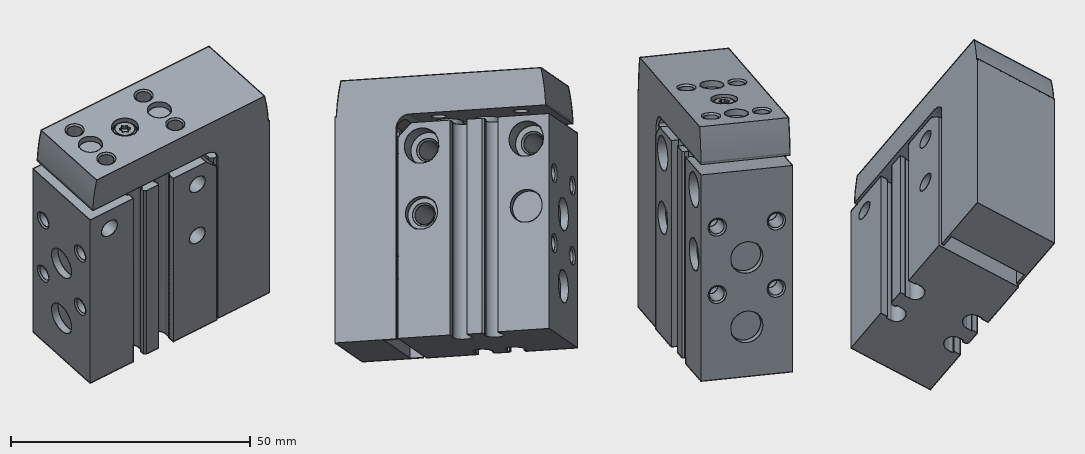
import cadquery as cq
import math


total_height = 56.0
total_depth = 47.0
housing_width = 20.0
half_width = housing_width / 2

housing_depth = 33.05
housing_height = 46.0
rear_chamfer = 2.8

slot_bore = 4.0
slot_lip = 1.6
slot_wall = 1.25
slot_1_edges = (18.1, 21.7)
slot_2_edges = (11.25, 14.4)
rib_chamfer = 0.45
rib_recess = 0.3

mount_bore = 4.15
mount_chamfer_diameter = 5.0
mount_y = 27.95
mount_front_y = 5.05
mount_upper_z = 40.95
mount_lower_z = 26.55
screw_recess_diameter = 7.5
screw_recess_depth = 4.6
sleeve_diameter = 7.0
sleeve_depth = 1.7

thread_bore = 3.25
thread_chamfer_diameter = 4.0
cone_angle = 118.0

front_thread_spacing = 12.9
front_thread_heights = (19.0, 34.0)
front_thread_depth = 5.05
front_sleeve_heights = (11.1, 26.55)

guide_front_y = 32.55
guide_cap_width = 17.25
guide_bottom = 13.05
guide_height = 31.4
guide_cap_height = 4.75
guide_chamfer = 0.7

slide_width = 19.45
slide_front_y = 0.9
column_front_y = 33.6
beam_bottom = 47.95
crown_base = 48.4
crown_inset = 1.0
crown_mid_inset = 0.35
rear_step = 0.3
inner_radius = 3.0

channel_width = 18.3
channel_depth = 2.8
channel_top = 47.45
channel_corner = 2.35

axis_y = 16.5
rod_diameter = 5.6
stop_y = 25.05
stop_diameter = 6.0
stop_neck_diameter = 5.0
stop_neck_height = 0.5

top_row_spacing = 18.0
top_thread_spacing = 11.1
dowel_diameter = 5.0
dowel_depth = 1.4

screw_pocket_diameter = 5.6
screw_pocket_depth = 1.25
screw_head_diameter = 4.8
screw_face_diameter = 4.15
screw_head_height = 0.8
star_lobes = 6
star_diameter = 1.8
star_lobe_circle = 1.9
star_lobe_diameter = 0.4
star_depth = 0.85


def cylinder(start, direction, diameter, length):
    return cq.Workplane(obj=cq.Solid.makeCylinder(diameter / 2, length, cq.Vector(*start), cq.Vector(*direction)))


def cone(start, direction, start_diameter, end_diameter, length):
    return cq.Workplane(obj=cq.Solid.makeCone(start_diameter / 2, end_diameter / 2, length,
                                              cq.Vector(*start), cq.Vector(*direction)))


def chamfered_bore(start, direction, bore, mouth, length):
    """Cylinder with a 45 degree widening at its start."""
    lead_in = cone(start, direction, mouth, bore, (mouth - bore) / 2)
    return cylinder(start, direction, bore, length).union(lead_in)


def block(width, y_start, y_end, z_start, z_end):
    return cq.Workplane().box(width, y_end - y_start, z_end - z_start, centered=(True, False, False)).translate(
        (0, y_start, z_start))


def housing_block():
    body = block(housing_width, 0, housing_depth, 0, housing_height)
    return body.edges("|X and >Y and >Z").chamfer(rear_chamfer)


def sensor_slot(edges):
    """Slot on the -X side, full height."""
    low, high = edges
    middle = (low + high) / 2
    floor_centre_depth = slot_lip + slot_wall
    channel_low = middle - slot_bore / 2
    mouth = cq.Workplane().box(slot_lip, high - low, housing_height, centered=False)
    channel = cq.Workplane().box(slot_wall, slot_bore, housing_height, centered=False)
    floor = cylinder((floor_centre_depth - half_width, middle, 0), (0, 0, 1), slot_bore, housing_height)
    return (
        floor
        .union(mouth.translate((-half_width, low, 0)))
        .union(channel.translate((slot_lip - half_width, channel_low, 0)))
    )


def rib_relief():
    """Sets the rib between the slots back and bevels its front edge."""
    rib_front = slot_2_edges[1]
    rib_back = slot_1_edges[0]
    face_x = rib_recess - half_width
    return (
        cq.Workplane()
        .polyline([
            (-half_width, rib_front),
            (face_x + rib_chamfer, rib_front),
            (face_x, rib_front + rib_chamfer),
            (face_x, rib_back),
            (-half_width, rib_back),
        ])
        .close()
        .extrude(housing_height)
    )


def sensor_slots():
    one_side = sensor_slot(slot_1_edges).union(sensor_slot(slot_2_edges)).union(rib_relief())
    return one_side.union(one_side.mirror("YZ"))


def mounting_hole(y, z, recess_diameter, recess_depth):
    """Through hole along X with a flat recess on the -X side."""
    recess = cylinder((-half_width, y, z), (1, 0, 0), recess_diameter, recess_depth)
    floor = (recess_depth - half_width, y, z)
    bore = chamfered_bore(floor, (1, 0, 0), mount_bore, mount_chamfer_diameter, housing_width - recess_depth)
    return recess.union(bore)


def front_thread(x, z):
    tip_length = thread_bore / 2 / math.tan(math.radians(cone_angle / 2))
    bore = chamfered_bore((x, 0, z), (0, 1, 0), thread_bore, thread_chamfer_diameter, front_thread_depth)
    return bore.union(cone((x, front_thread_depth, z), (0, 1, 0), thread_bore, 0, tip_length))


def guide_rail():
    """Rail that fills the column channel; its narrower end caps have bevelled front edges."""
    top = guide_bottom + guide_height
    rear_y = column_front_y + channel_depth
    rail = block(channel_width, guide_front_y, rear_y, guide_bottom + guide_cap_height, top - guide_cap_height)
    for cap_bottom in (guide_bottom, top - guide_cap_height):
        cap = block(guide_cap_width, guide_front_y, rear_y, cap_bottom, cap_bottom + guide_cap_height)
        rail = rail.union(cap.edges("|Z and <Y").chamfer(guide_chamfer))
    return rail


def make_housing():
    body = housing_block().union(guide_rail()).cut(sensor_slots())
    for y in (mount_front_y, mount_y):
        body = body.cut(mounting_hole(y, mount_upper_z, screw_recess_diameter, screw_recess_depth))
    body = body.cut(mounting_hole(mount_y, mount_lower_z, sleeve_diameter, sleeve_depth))
    body = body.cut(cylinder((-half_width, mount_front_y, mount_lower_z), (1, 0, 0), sleeve_diameter, sleeve_depth))
    for z in front_sleeve_heights:
        body = body.cut(cylinder((0, 0, z), (0, 1, 0), sleeve_diameter, sleeve_depth))
    for z in front_thread_heights:
        for x in (-front_thread_spacing / 2, front_thread_spacing / 2):
            body = body.cut(front_thread(x, z))
    return body


def yoke():
    """L-shaped slide with rounded ends on the beam."""
    mid_z = (crown_base + total_height) / 2
    rear_y = total_depth - rear_step
    profile = (
        cq.Workplane("YZ")
        .moveTo(column_front_y, 0)
        .lineTo(total_depth, 0)
        .lineTo(total_depth, crown_base)
        .lineTo(rear_y, crown_base)
        .threePointArc((rear_y - crown_mid_inset, mid_z), (rear_y - crown_inset, total_height))
        .lineTo(slide_front_y + crown_inset, total_height)
        .threePointArc((slide_front_y + crown_mid_inset, mid_z), (slide_front_y, crown_base))
        .lineTo(slide_front_y, beam_bottom)
        .lineTo(column_front_y - inner_radius, beam_bottom)
        .radiusArc((column_front_y, beam_bottom - inner_radius), inner_radius)
        .close()
    )
    return profile.extrude(slide_width / 2, both=True)


def guide_channel():
    front_y = column_front_y - inner_radius
    channel = block(channel_width, front_y, column_front_y + channel_depth, 0, channel_top)
    return channel.edges("|Y and >Z").fillet(channel_corner)


def rod():
    return cylinder((0, axis_y, housing_height), (0, 0, 1), rod_diameter, beam_bottom - housing_height)


def stop():
    neck = cylinder((0, stop_y, housing_height), (0, 0, 1), stop_neck_diameter, stop_neck_height)
    head_bottom = housing_height + stop_neck_height
    head = cylinder((0, stop_y, head_bottom), (0, 0, 1), stop_diameter, beam_bottom - head_bottom)
    return neck.union(head)


def top_thread(x, y):
    return chamfered_bore((x, y, total_height), (0, 0, -1), thread_bore, thread_chamfer_diameter,
                          total_height - beam_bottom)


def screw_head():
    """Bevelled screw head standing on the pocket floor."""
    floor_z = total_height - screw_pocket_depth
    bevel = (screw_head_diameter - screw_face_diameter) / 2
    face_z = floor_z + screw_head_height
    rim_z = face_z - bevel
    head = cylinder((0, axis_y, floor_z), (0, 0, 1), screw_head_diameter, screw_head_height - bevel)
    return head.union(cone((0, axis_y, rim_z), (0, 0, 1), screw_head_diameter, screw_face_diameter, bevel))


def star_socket():
    face_z = total_height - screw_pocket_depth + screw_head_height
    socket = cylinder((0, axis_y, face_z), (0, 0, -1), star_diameter, star_depth)
    for lobe in range(star_lobes):
        angle = 2 * math.pi * lobe / star_lobes
        x = star_lobe_circle / 2 * math.cos(angle)
        y = axis_y + star_lobe_circle / 2 * math.sin(angle)
        socket = socket.union(cylinder((x, y, face_z), (0, 0, -1), star_lobe_diameter, star_depth))
    return socket


def make_slide():
    body = yoke().cut(guide_channel()).union(rod()).union(stop())
    for y in (axis_y - top_row_spacing / 2, axis_y + top_row_spacing / 2):
        body = body.cut(cylinder((0, y, total_height), (0, 0, -1), dowel_diameter, dowel_depth))
        for x in (-top_thread_spacing / 2, top_thread_spacing / 2):
            body = body.cut(top_thread(x, y))
    body = body.cut(cylinder((0, axis_y, total_height), (0, 0, -1), screw_pocket_diameter, screw_pocket_depth))
    return body.union(screw_head()).cut(star_socket())


housing = make_housing()
slide = make_slide()
result = cq.Compound.makeCompound([housing.solids().val(), slide.solids().val()])